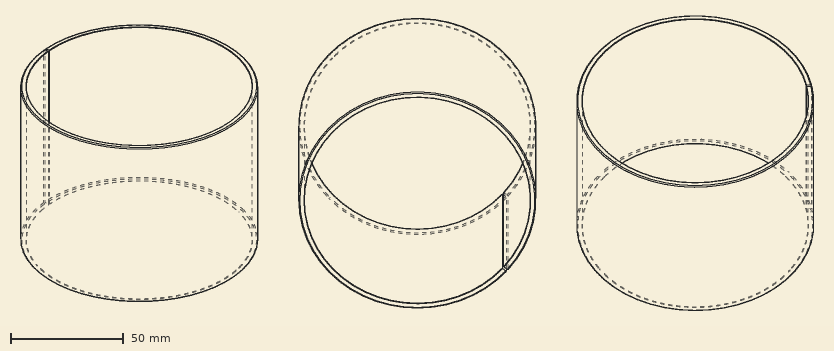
import cadquery as cq

outer_diameter = 105.0
inner_diameter = 100.0
height = 80.0

outer_chamfer = 0.5
inner_chamfer = 0.2

slit_width = 0.9

outer_radius = outer_diameter / 2
inner_radius = inner_diameter / 2


def wall_ring():
    """Revolve the chamfered wall section around the Z axis."""
    section = (
        cq.Workplane("XZ")
        .moveTo(inner_radius + inner_chamfer, 0)
        .lineTo(outer_radius - outer_chamfer, 0)
        .lineTo(outer_radius, outer_chamfer)
        .lineTo(outer_radius, height - outer_chamfer)
        .lineTo(outer_radius - outer_chamfer, height)
        .lineTo(inner_radius + inner_chamfer, height)
        .lineTo(inner_radius, height - inner_chamfer)
        .lineTo(inner_radius, inner_chamfer)
        .close()
    )
    return section.revolve(360, (0, 0, 0), (0, 1, 0))


def slit():
    """Block through the -X wall over the full height, with one face on the XZ plane."""
    block = cq.Workplane("XY").box(outer_radius, slit_width, height, centered=False)
    return block.translate((-outer_radius, 0, 0))


result = wall_ring().cut(slit())